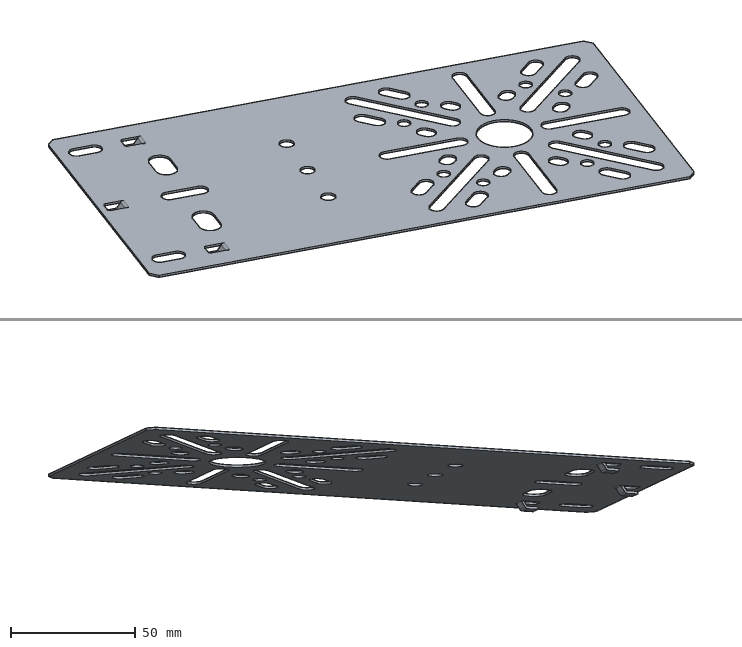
import cadquery as cq
import math

plate_width = 120.0
plate_length = 235
sheet = 1.0
total_height = 4.0
corner_chamfer = 3.0

star_y = plate_length / 2 - plate_width / 2
bore_diameter = 22.8
slot_width = 6.3
straight_slot_start = 16.0
straight_slot_end = 53.8
diagonal_slot_start = 19.7
diagonal_slot_end = 70.0

side_slot_offset = 12.0
long_side_slot_distance = 54
long_side_slot_length = 13.5
short_side_slot_distance = 29.1
short_side_slot_length = 8.2
small_hole_diameter = 5.5
small_hole_distance = 40.5
small_hole_offset = 8.7

hole_row_y = -27.5
hole_row_pitch = 23.5
row_hole_diameter = 6.0

lower_slots_y = -80.4
wide_slot_x = 24.7
wide_slot_length = 16.7
wide_slot_width = 9.2
middle_slot_length = 20.0
edge_x = 47
edge_slot_y = -105.3
edge_slot_length = 14

hook_width = 6.0
hook_length = 7.5
hook_slope = 55
bend_inner_radius = 0.5
root_overlap = 1.0
window_length = 8.7
window_corner_radius = 1.0
outer_hook_x = 47.2
outer_hook_y = -80.4
middle_hook_y = -105.8
hook_drop = total_height - sheet


def slot_cutter(x, y, length, width, angle=0):
    """A through slot of the given overall length, centred at (x, y)."""
    return cq.Workplane("XY").center(x, y).slot2D(length, width, angle).extrude(sheet)


def hole_cutter(x, y, diameter):
    """A round through hole."""
    return cq.Workplane("XY").center(x, y).circle(diameter / 2).extrude(sheet)


def star_point(along, across, angle):
    """Point of the plate at a distance along and across a ray from the star centre."""
    turn = math.radians(angle)
    x = along * math.cos(turn) - across * math.sin(turn)
    y = along * math.sin(turn) + across * math.cos(turn)
    return x, star_y + y


def ray_slot(start, end, angle):
    """A slot lying on a ray from the star centre."""
    x, y = star_point((start + end) / 2, 0, angle)
    return slot_cutter(x, y, end - start, slot_width, angle)


def window_cutter(x, y):
    """A window running from y toward -Y, with its two far corners rounded."""
    outline = cq.Workplane("XY").center(x, y - window_length / 2).rect(hook_width, window_length)
    return outline.extrude(sheet).edges("|Z and <Y").fillet(window_corner_radius)


def hook(x, y):
    """A hook whose root is at y: a bend down, a slope, a bend back, then a flat tongue toward -Y."""
    slope = math.radians(hook_slope)
    miter = sheet * math.tan(slope / 2)
    bend_outer_radius = bend_inner_radius + sheet
    brow = y - bend_outer_radius * math.tan(slope / 2)
    foot = brow - hook_drop / math.tan(slope)
    tip = y - hook_length
    profile = [
        (y, sheet),
        (brow, sheet),
        (foot, sheet - hook_drop),
        (tip, sheet - hook_drop),
        (tip, -hook_drop),
        (foot + miter, -hook_drop),
        (brow + miter, 0),
        (y + root_overlap, 0),
        (y + root_overlap, sheet),
    ]
    left = x - hook_width / 2
    strip = cq.Workplane("YZ", origin=(left, 0, 0)).polyline(profile).close().extrude(hook_width)
    bends = [
        (brow, sheet, bend_outer_radius),
        (brow + miter, 0, bend_inner_radius),
        (foot, sheet - hook_drop, bend_inner_radius),
        (foot + miter, -hook_drop, bend_outer_radius),
    ]
    for bend_y, bend_z, radius in bends:
        corner = cq.selectors.NearestToPointSelector((x, bend_y, bend_z))
        strip = strip.edges("|X").edges(corner).fillet(radius)
    return strip


plate = cq.Workplane("XY").box(plate_width, plate_length, sheet, centered=(True, True, False))
plate = plate.edges("|Z").chamfer(corner_chamfer)

plate = plate.cut(hole_cutter(0, star_y, bore_diameter))
for quarter in (0, 90, 180, 270):
    diagonal = quarter + 45
    plate = plate.cut(ray_slot(straight_slot_start, straight_slot_end, quarter))
    plate = plate.cut(ray_slot(diagonal_slot_start, diagonal_slot_end, diagonal))
    for side in (-1, 1):
        x, y = star_point(long_side_slot_distance, side * side_slot_offset, diagonal)
        plate = plate.cut(slot_cutter(x, y, long_side_slot_length, slot_width, diagonal))
        x, y = star_point(short_side_slot_distance, side * side_slot_offset, diagonal)
        plate = plate.cut(slot_cutter(x, y, short_side_slot_length, slot_width, diagonal))
        x, y = star_point(small_hole_distance, side * small_hole_offset, diagonal)
        plate = plate.cut(hole_cutter(x, y, small_hole_diameter))

plate = plate.cut(hole_cutter(0, hole_row_y, row_hole_diameter))
plate = plate.cut(slot_cutter(0, lower_slots_y, middle_slot_length, slot_width, 90))
for side in (-1, 1):
    plate = plate.cut(hole_cutter(side * hole_row_pitch, hole_row_y, row_hole_diameter))
    plate = plate.cut(slot_cutter(side * wide_slot_x, lower_slots_y, wide_slot_length, wide_slot_width))
    plate = plate.cut(slot_cutter(side * edge_x, edge_slot_y, edge_slot_length, slot_width, 90))

for x, y in ((-outer_hook_x, outer_hook_y), (outer_hook_x, outer_hook_y), (0, middle_hook_y)):
    plate = plate.cut(window_cutter(x, y)).union(hook(x, y))

result = plate